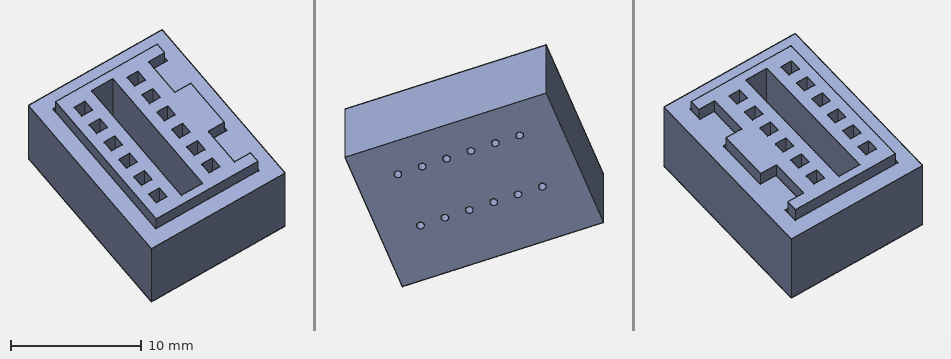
import cadquery as cq

LENGTH = 16.5
WIDTH = 12.5
TOTAL_HEIGHT = 8.0
INSERT_PROTRUSION = 1.0
HOUSING_HEIGHT = TOTAL_HEIGHT - INSERT_PROTRUSION
FLOOR_THICKNESS = 1.0

INSERT_LENGTH = 13.5
INSERT_WIDTH = 9.5
CLEARANCE = 0.15
NOTCH_INNER_X = 2.25
NOTCH_OUTER_X = 5.76
NOTCH_DEPTH = 1.5

CONTACT_COUNT = 6
CONTACT_PITCH = 2.0
ROW_SPACING = 4.95
ROWS_CENTER_Y = -0.9
CAVITY_SIDE = 1.0
TAIL_HOLE_DIAMETER = 0.6
SLOT_LENGTH = 12.05
SLOT_WIDTH = 2.0


def keyed_prism(clearance, bottom, top):
    """Prism with two notches in its +Y side, grown outward by the clearance."""
    height = top - bottom
    half_width = INSERT_WIDTH / 2
    prism = cq.Workplane("XY").workplane(offset=bottom).rect(
        INSERT_LENGTH + 2 * clearance, INSERT_WIDTH + 2 * clearance
    ).extrude(height)

    notch_length = NOTCH_OUTER_X - NOTCH_INNER_X - 2 * clearance
    notch_floor_y = half_width - NOTCH_DEPTH + clearance
    notch_width = half_width + clearance - notch_floor_y
    notch_center_x = (NOTCH_INNER_X + NOTCH_OUTER_X) / 2
    notch_center_y = notch_floor_y + notch_width / 2
    notch_centers = [(side * notch_center_x, notch_center_y) for side in (-1, 1)]
    notches = cq.Workplane("XY").workplane(offset=bottom).pushPoints(notch_centers).rect(
        notch_length, notch_width
    ).extrude(height)
    return prism.cut(notches)


def contact_grid(plane):
    """Place one location per contact, in two rows."""
    return plane.center(0, ROWS_CENTER_Y).rarray(CONTACT_PITCH, ROW_SPACING, CONTACT_COUNT, 2)


def right_ear_stop():
    """Strip of pocket wall that closes the clearance behind the +X ear of the insert."""
    start_x = NOTCH_OUTER_X - CLEARANCE
    end_x = INSERT_LENGTH / 2 + CLEARANCE
    return cq.Workplane("XY").box(
        end_x - start_x, CLEARANCE, HOUSING_HEIGHT - FLOOR_THICKNESS, centered=False
    ).translate((start_x, INSERT_WIDTH / 2, FLOOR_THICKNESS))


def make_housing():
    """Block with a keyed pocket and a round tail hole under each contact cavity."""
    block = cq.Workplane("XY").rect(LENGTH, WIDTH).extrude(HOUSING_HEIGHT)
    pocket = keyed_prism(CLEARANCE, FLOOR_THICKNESS, HOUSING_HEIGHT).cut(right_ear_stop())
    tail_holes = contact_grid(cq.Workplane("XY")).circle(TAIL_HOLE_DIAMETER / 2).extrude(FLOOR_THICKNESS)
    return block.cut(pocket).cut(tail_holes)


def make_insert():
    """Keyed block resting on the pocket floor, with square cavities and a slot through it."""
    body = keyed_prism(0, FLOOR_THICKNESS, TOTAL_HEIGHT)
    base = cq.Workplane("XY").workplane(offset=FLOOR_THICKNESS)
    insert_height = TOTAL_HEIGHT - FLOOR_THICKNESS
    cavities = contact_grid(base).rect(CAVITY_SIDE, CAVITY_SIDE).extrude(insert_height)
    slot = base.center(0, ROWS_CENTER_Y).rect(SLOT_LENGTH, SLOT_WIDTH).extrude(insert_height)
    return body.cut(cavities).cut(slot)


housing = make_housing()
insert = make_insert()
result = cq.Compound.makeCompound([housing.val(), insert.val()])